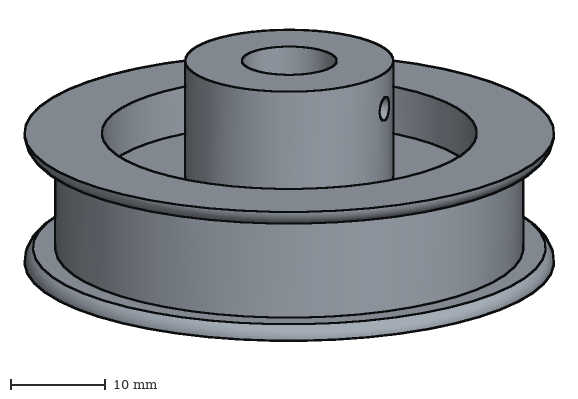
import cadquery as cq
import math

outer_diameter = 56.0
total_height = 22.3
hub_diameter = 22.0
hub_projection = 8.0
bore_diameter = 10.0
belt_seat_diameter = 49.5
flange_thickness = 1.55
edge_inset = 0.9
recess_diameter = 39.65
recess_depth = 5.2
set_screw_diameter = 2.5
set_screw_drop = 4.0

rim_height = total_height - hub_projection
recess_floor = rim_height - recess_depth
seat_height = rim_height - 2 * flange_thickness
set_screw_height = total_height - set_screw_drop


def disc(diameter, bottom, height):
    return cq.Workplane("XY").workplane(offset=bottom).circle(diameter / 2).extrude(height)


def rounded_flange(flat_face, seat_face):
    """Flange whose edge curves inward from its flat outer face to the face beside the belt seat."""
    outer_radius = outer_diameter / 2
    edge_radius = (edge_inset**2 + flange_thickness**2) / (2 * edge_inset)
    half_angle = math.asin(flange_thickness / edge_radius) / 2
    arc_center = outer_radius - edge_radius
    toward_seat = math.copysign(1, seat_face - flat_face)
    arc_middle = flat_face + toward_seat * edge_radius * math.sin(half_angle)
    return (
        cq.Workplane("XZ")
        .moveTo(0, flat_face)
        .lineTo(outer_radius, flat_face)
        .threePointArc((arc_center + edge_radius * math.cos(half_angle), arc_middle),
                       (outer_radius - edge_inset, seat_face))
        .lineTo(0, seat_face)
        .close()
        .revolve(360, (0, 0), (0, 1))
    )


lower_flange = rounded_flange(0, flange_thickness)
upper_flange = rounded_flange(rim_height, rim_height - flange_thickness)
belt_seat = disc(belt_seat_diameter, flange_thickness, seat_height)
rim = lower_flange.union(belt_seat).union(upper_flange)

recess = disc(recess_diameter, recess_floor, recess_depth)
hub = disc(hub_diameter, recess_floor, total_height - recess_floor)
body = rim.cut(recess).union(hub)

bore = disc(bore_diameter, 0, total_height)
set_screw_hole = (
    cq.Workplane("YZ")
    .center(0, set_screw_height)
    .circle(set_screw_diameter / 2)
    .extrude(hub_diameter / 2)
)

result = body.cut(bore).cut(set_screw_hole)